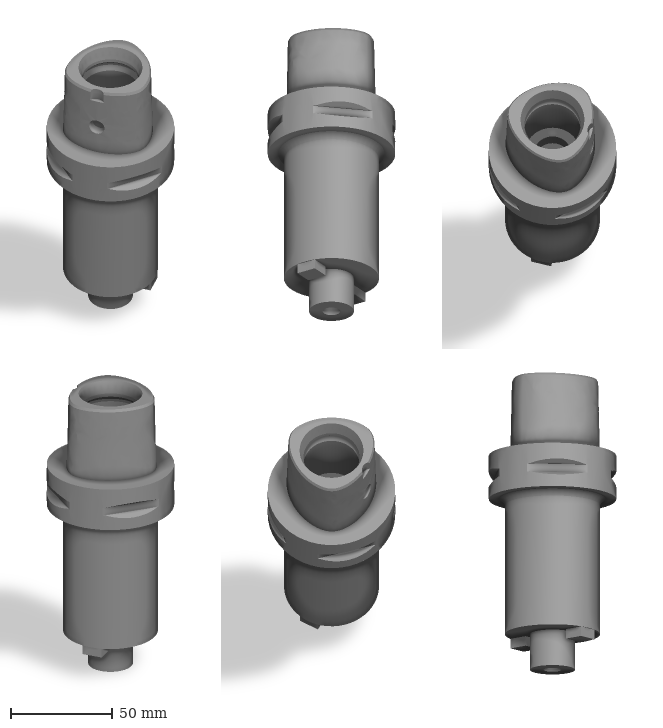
import cadquery as cq
import math

pilot_length = 18.0
body_length = 65.1
neck_height = 3.0
flange_height = 21.9
total_length = 146.0

body_base_z = pilot_length
neck_base_z = body_base_z + body_length
flange_base_z = neck_base_z + neck_height
flange_top_z = flange_base_z + flange_height

pilot_radius = 11.1
body_radius = 23.5
neck_top_radius = 26.3
neck_arc_radius = 4.4
flange_radius = 31.5

shank_base_radius = 22.2
shank_rim_radius = 21.3
shank_end_radius = 20.6
lobe_height = 1.5
rim_bevel_height = 1.3
outline_points = 36

mouth_radius = 15.8
bore_radius = 13.9
mouth_depth = 6.3
groove_depth = 8.0
groove_radius = 15.9
groove_land = 1.3
bore_depth = 43.8
groove_bevel = groove_radius - bore_radius

step_radius = 9.2
step_depth = 8.8
screw_radius = 6.0
screw_depth = 43.8
through_radius = 4.4

notch_radius = 4.4
notch_center_y = -22.3
notch_depth = 6.3
side_hole_radius = 4.1
side_hole_drop = 22.3
side_hole_floor_y = -15.6

slot_count = 4
slot_length = 30.1
slot_floor_height = 4.1
slot_mouth_height = 8.0
slot_drop = 50.0
slot_floor_distance = 27.7
slot_flare_distance = 28.3

key_outer_x = 22.8
key_length = 9.8
key_width = 10.2
key_height = 4.8


def cylinder(radius, base_z, top_z):
    return cq.Workplane("XY").workplane(offset=base_z).circle(radius).extrude(top_z - base_z)


def shank_wire(mean_radius, z):
    """Closed three-lobed curve with one lobe pointing toward +Y."""
    points = []
    for i in range(outline_points):
        t = 2 * math.pi * i / outline_points
        along = mean_radius * math.cos(t) + 2 * lobe_height * math.cos(2 * t) - lobe_height * math.cos(4 * t)
        across = mean_radius * math.sin(t) - 2 * lobe_height * math.sin(2 * t) - lobe_height * math.sin(4 * t)
        points.append(cq.Vector(-across, along, z))
    return cq.Wire.assembleEdges([cq.Edge.makeSpline(points, periodic=True)])


def shank_section(lower_radius, upper_radius, base_z, top_z):
    wires = [shank_wire(lower_radius, base_z), shank_wire(upper_radius, top_z)]
    return cq.Workplane(cq.Solid.makeLoft(wires, True))


def turned_body():
    """Pilot, body, concave neck and flange as one revolved profile."""
    chord_x = neck_top_radius - body_radius
    chord = math.hypot(chord_x, neck_height)
    sagitta = neck_arc_radius - math.sqrt(neck_arc_radius**2 - (chord / 2) ** 2)
    neck_mid = (
        (body_radius + neck_top_radius) / 2 - sagitta * neck_height / chord,
        neck_base_z + neck_height / 2 + sagitta * chord_x / chord,
    )
    return (
        cq.Workplane("XZ")
        .moveTo(0, 0)
        .lineTo(pilot_radius, 0)
        .lineTo(pilot_radius, body_base_z)
        .lineTo(body_radius, body_base_z)
        .lineTo(body_radius, neck_base_z)
        .threePointArc(neck_mid, (neck_top_radius, flange_base_z))
        .lineTo(flange_radius, flange_base_z)
        .lineTo(flange_radius, flange_top_z)
        .lineTo(0, flange_top_z)
        .close()
        .revolve(360, (0, 0), (0, 1))
    )


def shank():
    rim_z = total_length - rim_bevel_height
    taper = shank_section(shank_base_radius, shank_rim_radius, flange_top_z, rim_z)
    bevel = shank_section(shank_rim_radius, shank_end_radius, rim_z, total_length)
    return taper.union(bevel)


def axial_bore():
    """Tapered mouth, bevelled groove, deep bore and stepped through hole."""
    groove_wall_depth = groove_depth + groove_bevel
    groove_end_depth = groove_wall_depth + groove_land
    radius_and_depth = [
        (0, 0),
        (mouth_radius, 0),
        (bore_radius, mouth_depth),
        (bore_radius, groove_depth),
        (groove_radius, groove_wall_depth),
        (groove_radius, groove_end_depth),
        (bore_radius, groove_end_depth + groove_bevel),
        (bore_radius, bore_depth),
        (step_radius, bore_depth),
        (step_radius, bore_depth + step_depth),
        (screw_radius, bore_depth + step_depth),
        (screw_radius, bore_depth + step_depth + screw_depth),
        (through_radius, bore_depth + step_depth + screw_depth),
        (through_radius, total_length),
        (0, total_length),
    ]
    profile = [(radius, total_length - depth) for radius, depth in radius_and_depth]
    return cq.Workplane("XZ").polyline(profile).close().revolve(360, (0, 0), (0, 1))


def rim_notch():
    notch = cylinder(notch_radius, total_length - notch_depth, total_length)
    return notch.translate((0, notch_center_y, 0))


def side_hole():
    return (
        cq.Workplane("XZ", origin=(0, side_hole_floor_y, total_length - side_hole_drop))
        .circle(side_hole_radius)
        .extrude(flange_radius)
    )


def gripper_slot(angle):
    """Flat-floored slot whose upper and lower walls flare near the rim."""
    half_floor = slot_floor_height / 2
    half_mouth = slot_mouth_height / 2
    section = [
        (slot_floor_distance, -half_floor),
        (slot_flare_distance, -half_floor),
        (flange_radius, -half_mouth),
        (flange_radius, half_mouth),
        (slot_flare_distance, half_floor),
        (slot_floor_distance, half_floor),
    ]
    slot = cq.Workplane("XZ").polyline(section).close().extrude(slot_length / 2, both=True)
    return slot.translate((0, 0, total_length - slot_drop)).rotate((0, 0, 0), (0, 0, 1), angle)


def drive_key(side):
    center_x = side * (key_outer_x - key_length / 2)
    key = cq.Workplane("XY").box(key_length, key_width, key_height, centered=(True, True, False))
    return key.translate((center_x, 0, body_base_z - key_height))


result = turned_body().union(shank())
for side in (-1, 1):
    result = result.union(drive_key(side))

result = result.cut(axial_bore()).cut(rim_notch()).cut(side_hole())
for i in range(slot_count):
    result = result.cut(gripper_slot((i + 0.5) * 360 / slot_count))